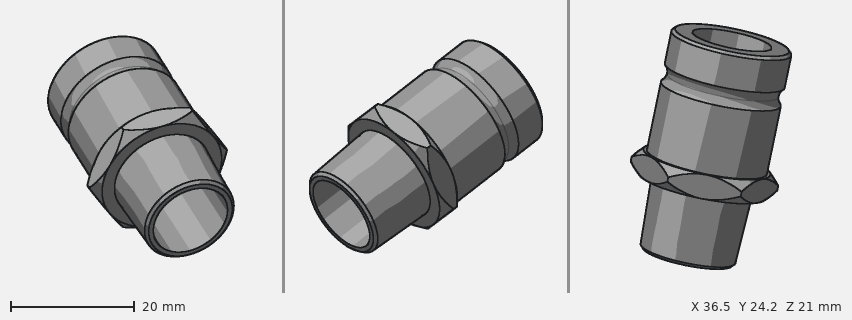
import cadquery as cq
import math

total_length = 36.5
hex_start = 20.5
hex_width = 4.0
hex_end = hex_start + hex_width

body_radius = 9.93
body_chamfer = 0.5
groove_start = 5.95
groove_end = 9.05
groove_depth = 0.7
groove_bottom = 7.55

across_flats = 21.0
across_corners = across_flats / math.cos(math.radians(30))
corner_bevel = (across_corners - across_flats) / 2

spigot_base_radius = 8.32
spigot_tip_radius = 7.85
spigot_chamfer = 0.5

bore_diameter = 13.03


def groove_arc_midpoint(rim_x):
    """Midpoint of the arc from the groove rim at rim_x to the groove bottom."""
    run = groove_bottom - rim_x
    arc_radius = (run**2 + groove_depth**2) / (2 * groove_depth)
    half_sweep = math.asin(run / arc_radius) / 2
    drop = arc_radius * (1 - math.cos(half_sweep))
    return (
        groove_bottom - arc_radius * math.sin(half_sweep),
        body_radius - groove_depth + drop,
    )


def make_body():
    """Turned plug with a chamfered front edge and a groove of two arcs tangent at its bottom."""
    return (
        cq.Workplane("XY")
        .lineTo(0, body_radius - body_chamfer)
        .lineTo(body_chamfer, body_radius)
        .lineTo(groove_start, body_radius)
        .threePointArc(
            groove_arc_midpoint(groove_start),
            (groove_bottom, body_radius - groove_depth),
        )
        .tangentArcPoint((groove_end, body_radius), relative=False)
        .lineTo(hex_start, body_radius)
        .lineTo(hex_start, 0)
        .close()
        .revolve(360, (0, 0, 0), (1, 0, 0))
    )


def make_hexagon():
    """Hexagonal collar whose corners are bevelled from both faces."""
    prism = (
        cq.Workplane("YZ", origin=(hex_start, 0, 0))
        .polygon(6, across_corners)
        .extrude(hex_width)
    )
    bevelled_disc = (
        cq.Workplane("YZ", origin=(hex_start, 0, 0))
        .circle(across_corners / 2)
        .extrude(hex_width)
        .edges()
        .chamfer(corner_bevel)
    )
    return prism.intersect(bevelled_disc)


def make_spigot():
    """Spigot tapering from the hexagon to a chamfered tip."""
    return (
        cq.Workplane("XY")
        .moveTo(hex_end, 0)
        .lineTo(hex_end, spigot_base_radius)
        .lineTo(total_length - spigot_chamfer, spigot_tip_radius)
        .lineTo(total_length, spigot_tip_radius - spigot_chamfer)
        .lineTo(total_length, 0)
        .close()
        .revolve(360, (0, 0, 0), (1, 0, 0))
    )


bore = cq.Workplane("YZ").circle(bore_diameter / 2).extrude(total_length)

result = make_body().union(make_hexagon()).union(make_spigot()).cut(bore)